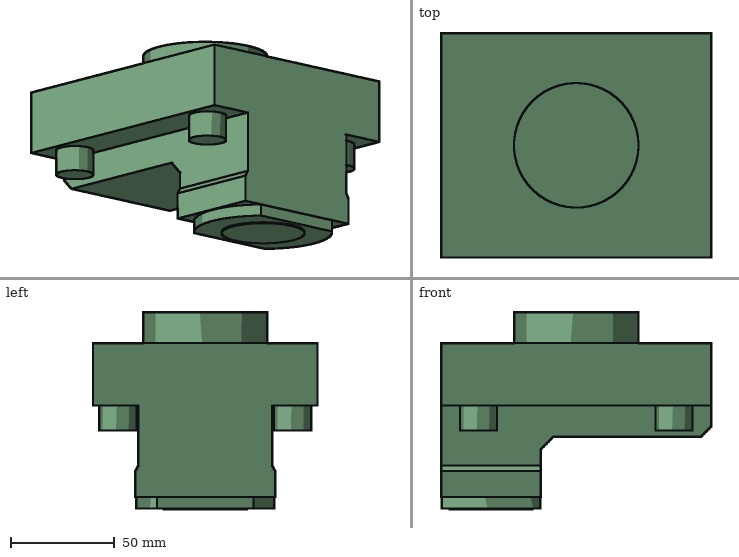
import cadquery as cq

plate_length = 130.0
plate_width = 108.0
plate_height = 30.0
boss_diameter = 59.9
boss_height = 15.0

pin_diameter = 18.0
pin_length = 12.0
pin_edge_x = 18.0
pin_edge_y = 12.0

body_width = 64.5
arm_depth = 15.0
arm_end_chamfer = 5.0
leg_length = 48.0
leg_depth = 44.0
inner_corner_chamfer = 6.0

foot_width = 67.5
foot_height = 12.5
shoulder_height = 2.6

flange_diameter = 66.5
flange_flat_width = 47.5
flange_height = 5.5
pad_diameter = 40.0
pad_height = 0.5

plate_left = -plate_length / 2
plate_right = plate_length / 2
leg_right = plate_left + leg_length
leg_center_x = plate_left + leg_length / 2
flange_bottom = -leg_depth - flange_height


def disc(x, y, bottom, diameter, height):
    """Vertical cylinder standing on the height `bottom`."""
    return cq.Workplane("XY", origin=(x, y, bottom)).circle(diameter / 2).extrude(height)


def make_plate():
    plate = cq.Workplane("XY").box(plate_length, plate_width, plate_height, centered=(True, True, False))
    return plate.union(disc(0, 0, plate_height, boss_diameter, boss_height))


def make_body():
    outline = [
        (plate_left, 0),
        (plate_right, 0),
        (plate_right, -arm_depth + arm_end_chamfer),
        (plate_right - arm_end_chamfer, -arm_depth),
        (leg_right + inner_corner_chamfer, -arm_depth),
        (leg_right, -arm_depth - inner_corner_chamfer),
        (leg_right, -leg_depth),
        (plate_left, -leg_depth),
    ]
    return cq.Workplane("XZ").polyline(outline).close().extrude(body_width / 2, both=True)


def make_foot():
    foot_top = -leg_depth + foot_height
    shoulder_top = foot_top + shoulder_height
    outline = [
        (-foot_width / 2, -leg_depth),
        (foot_width / 2, -leg_depth),
        (foot_width / 2, foot_top),
        (body_width / 2, shoulder_top),
        (-body_width / 2, shoulder_top),
        (-foot_width / 2, foot_top),
    ]
    return cq.Workplane("YZ", origin=(plate_left, 0, 0)).polyline(outline).close().extrude(leg_length)


def make_flange():
    round_flange = disc(leg_center_x, 0, flange_bottom, flange_diameter, flange_height)
    flats = (
        cq.Workplane("XY", origin=(leg_center_x, 0, flange_bottom))
        .rect(flange_flat_width, flange_diameter)
        .extrude(flange_height)
    )
    pad = disc(leg_center_x, 0, flange_bottom - pad_height, pad_diameter, pad_height)
    return round_flange.intersect(flats).union(pad)


def make_pins():
    return (
        cq.Workplane("XY")
        .rect(plate_length - 2 * pin_edge_x, plate_width - 2 * pin_edge_y, forConstruction=True)
        .vertices()
        .circle(pin_diameter / 2)
        .extrude(-pin_length)
    )


result = make_plate().union(make_body()).union(make_foot()).union(make_flange()).union(make_pins())